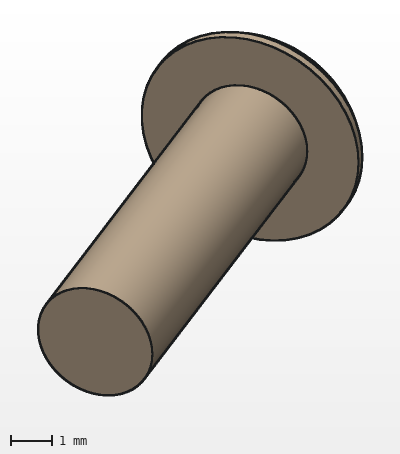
import cadquery as cq

total_length = 11.65
head_height = 1.65
head_diameter = 5.7
rim_height = 0.26
crown_flat_diameter = 2.6
dome_radius = 3.15
shank_diameter = 3.0

shank_length = total_length - head_height
head_radius = head_diameter / 2
shank_radius = shank_diameter / 2
crown_flat_radius = crown_flat_diameter / 2

half_section = (
    cq.Workplane("XY")
    .moveTo(0, -shank_length)
    .lineTo(shank_radius, -shank_length)
    .lineTo(shank_radius, 0)
    .lineTo(head_radius, 0)
    .lineTo(head_radius, rim_height)
    .radiusArc((crown_flat_radius, head_height), -dome_radius)
    .lineTo(0, head_height)
    .close()
)

result = half_section.revolve(360, (0, 0, 0), (0, 1, 0))